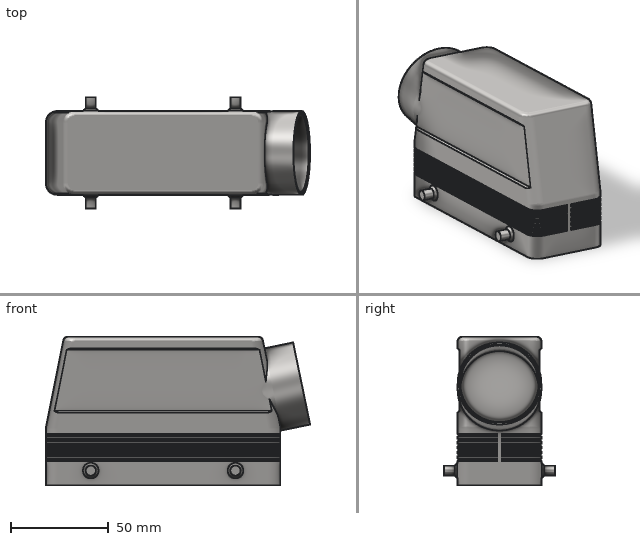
import cadquery as cq
import math

body_length = 120.0
body_width = 43.0
body_height = 76.0
kink_height = 29.5
kink_radius = 6.0
wall_tilt = math.radians(11.3)
corner_radius = 6.0
top_radius = 2.5

recess_depth = 1.0
recess_bottom = 37.0
recess_top = 70.2

groove_count = 6
groove_pitch = 2.5
groove_width = 1.6
groove_depth = 0.5
groove_top = 26.35
groove_break = 2.5

pin_diameter = 5.2
pin_base_diameter = 8.0
pin_span = 57.0
pin_spacing = 74.0
pin_height = 7.5

overall_length = 135.24
outlet_tilt = math.radians(11.7)
outlet_diameter = 43.0
outlet_bore = 40.0
outlet_length = 15.0
bore_chamfer = 0.6
root_taper = math.radians(10.0)
root_length = 12.0
outlet_low_point = 31.0

half_length = body_length / 2
half_width = body_width / 2
top_half_length = half_length - (body_height - kink_height) * math.tan(wall_tilt)
pin_base_length = (pin_base_diameter - pin_diameter) / 2
outlet_radius = outlet_diameter / 2
bore_radius = outlet_bore / 2


def make_body():
    outline = [
        (-half_length, 0),
        (half_length, 0),
        (half_length, kink_height),
        (top_half_length, body_height),
        (-top_half_length, body_height),
        (-half_length, kink_height),
    ]
    body = cq.Workplane("XZ").polyline(outline).close().extrude(half_width, both=True)
    lower_corner = (-body_length, -body_width, kink_height - kink_radius)
    upper_corner = (body_length, body_width, kink_height + kink_radius)
    kink_zone = cq.selectors.BoxSelector(lower_corner, upper_corner)
    body = body.edges("|Y").edges(kink_zone).fillet(kink_radius)
    body = body.edges("not(|X or |Y)").fillet(corner_radius)
    return body.faces(">Z").edges().fillet(top_radius)


def make_recess(side):
    floor = half_width - recess_depth
    profile = [
        (side * half_width, recess_bottom),
        (side * floor, recess_bottom + recess_depth),
        (side * floor, recess_top - recess_depth),
        (side * half_width, recess_top),
    ]
    return cq.Workplane("YZ").polyline(profile).close().extrude(half_length, both=True)


def make_groove(top):
    """Ring that follows the skirt's rounded rectangle, broken at the middle of both ends."""
    floor = half_length - groove_depth
    profile = [
        (half_length, top),
        (floor, top - groove_depth),
        (floor, top - groove_width + groove_depth),
        (half_length, top - groove_width),
    ]
    skirt = cq.Workplane("XY").rect(body_length, body_width).extrude(top)
    path = skirt.edges("|Z").fillet(corner_radius).faces(">Z").wires()
    ring = cq.Workplane("XZ").polyline(profile).close().sweep(path)
    end_break = cq.Workplane("XY").box(2 * body_length, groove_break, 2 * body_height)
    return ring.cut(end_break)


def make_pin(x, side):
    """Pin revolved about Y, reaching inward to the middle of the body."""
    tip = side * pin_span / 2
    shoulder = side * (half_width + pin_base_length)
    profile = [
        (0, 0),
        (0, tip),
        (pin_diameter / 2, tip),
        (pin_diameter / 2, shoulder),
        (pin_base_diameter / 2, side * half_width),
        (pin_base_diameter / 2, 0),
    ]
    pin = cq.Workplane("XY").polyline(profile).close().revolve(360, (0, 0), (0, 1))
    return pin.translate((x, 0, pin_height))


def outlet_plane():
    """Plane at the middle of the outlet's rim, with local X pointing out along its axis."""
    sine = math.sin(outlet_tilt)
    cosine = math.cos(outlet_tilt)
    rim_x = overall_length - half_length - outlet_radius * sine
    rim_z = outlet_low_point + outlet_radius * cosine
    return cq.Plane(origin=(rim_x, 0, rim_z), xDir=(cosine, 0, sine), normal=(0, -1, 0))


def revolve_about_outlet_axis(profile):
    return cq.Workplane(outlet_plane()).polyline(profile).close().revolve(360, (0, 0), (1, 0))


def make_outlet():
    root_end = -outlet_length - root_length
    root_radius = outlet_radius - root_length * math.tan(root_taper)
    return revolve_about_outlet_axis([
        (0, 0),
        (0, outlet_radius),
        (-outlet_length, outlet_radius),
        (root_end, root_radius),
        (root_end, 0),
    ])


def make_bore():
    return revolve_about_outlet_axis([
        (0, 0),
        (0, bore_radius + bore_chamfer),
        (-bore_chamfer, bore_radius),
        (-outlet_length, bore_radius),
        (-outlet_length, 0),
    ])


result = make_body()
for side in (-1, 1):
    result = result.cut(make_recess(side))
for index in range(groove_count):
    result = result.cut(make_groove(groove_top - index * groove_pitch))
for x in (-pin_spacing / 2, pin_spacing / 2):
    for side in (-1, 1):
        result = result.union(make_pin(x, side))
result = result.union(make_outlet()).cut(make_bore())